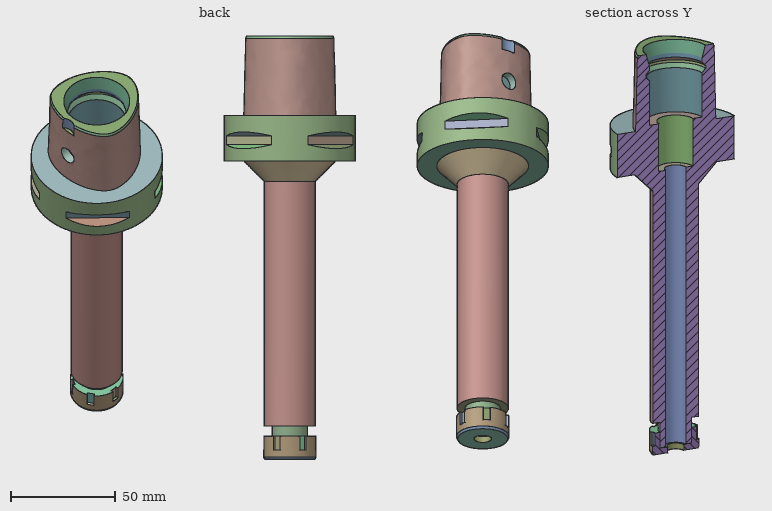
import cadquery as cq
import math


shank_height = 38.0
shank_mean_radius = 22.15
lobe_eccentricity = 1.55
outline_point_count = 36
taper_per_side = 1 / 40
shank_chamfer_height = 1.2
shank_chamfer_width = 0.5

notch_height = 6.5
notch_radius = 5.4
notch_bottom_y = -18.0
blind_hole_diameter = 8.4
blind_hole_z = 15.5
blind_hole_depth = 5.0

mouth_diameter = 31.6
clamp_bore_diameter = 28.0
groove_diameter = 32.0
mouth_cone_depth = 6.4
groove_top_depth = 8.4
groove_bottom_depth = 13.7
clamp_bore_depth = 36.0
middle_bore_diameter = 18.1
middle_bore_depth = 60.0
coolant_bore_diameter = 10.9

flange_diameter = 63.0
flange_height = 22.0
cone_top_diameter = 44.0
stem_diameter = 24.6
stem_end_z = -149.0
neck_diameter = 17.0

gripper_groove_count = 4
gripper_groove_first_angle = 45.0
gripper_groove_z = -12.0
gripper_groove_floor_radius = 27.6
gripper_groove_floor_height = 4.2
gripper_groove_mouth_height = 8.0

nut_bottom_z = -165.0
nut_top_z = -153.8
nut_diameter = 25.2
nut_floor_thickness = 3.0
nut_hole_diameter = 8.4
nut_chamfer_height = 1.2
nut_chamfer_width = 0.6
nut_slot_count = 6
nut_slot_width = 3.4
nut_slot_length = 6.6
nut_slot_depth = 1.3

neck_end_z = nut_bottom_z + nut_floor_thickness


def polygon_section(z, mean_radius):
    """Closed three-lobed outline with one lobe toward +Y."""

    points = []
    for index in range(outline_point_count):
        angle = math.pi + 2 * math.pi * index / outline_point_count
        along_lobe = (
            mean_radius * math.cos(angle)
            + 2 * lobe_eccentricity * math.cos(2 * angle)
            - lobe_eccentricity * math.cos(4 * angle)
        )
        across_lobe = (
            mean_radius * math.sin(angle)
            - 2 * lobe_eccentricity * math.sin(2 * angle)
            - lobe_eccentricity * math.sin(4 * angle)
        )
        points.append((-across_lobe, along_lobe))
    outline = cq.Workplane("XY").workplane(offset=z).spline(points, periodic=True, makeWire=True)
    return outline.val()


def polygon_shank():
    chamfer_z = shank_height - shank_chamfer_height
    chamfer_radius = shank_mean_radius - taper_per_side * chamfer_z
    bottom = polygon_section(0, shank_mean_radius)
    chamfer_start = polygon_section(chamfer_z, chamfer_radius)
    top = polygon_section(shank_height, chamfer_radius - shank_chamfer_width)
    taper = cq.Solid.makeLoft([bottom, chamfer_start], True)
    chamfer = cq.Solid.makeLoft([chamfer_start, top], True)
    return cq.Workplane(taper).union(cq.Workplane(chamfer))


def flange_and_stem():
    cone_height = (cone_top_diameter - stem_diameter) / 2
    outline = [
        (0, 0),
        (flange_diameter / 2, 0),
        (flange_diameter / 2, -flange_height),
        (cone_top_diameter / 2, -flange_height),
        (stem_diameter / 2, -flange_height - cone_height),
        (stem_diameter / 2, stem_end_z),
        (neck_diameter / 2, stem_end_z),
        (neck_diameter / 2, neck_end_z),
        (0, neck_end_z),
    ]
    return cq.Workplane("XZ").polyline(outline).close().revolve(360, (0, 0), (0, 1))


def stepped_bore():
    """Cutter for the conical mouth, segment groove and stepped bore."""
    clamp_radius = clamp_bore_diameter / 2
    groove_radius = groove_diameter / 2
    groove_slope = groove_radius - clamp_radius
    outline = [
        (0, shank_height),
        (mouth_diameter / 2, shank_height),
        (clamp_radius, shank_height - mouth_cone_depth),
        (clamp_radius, shank_height - groove_top_depth),
        (groove_radius, shank_height - groove_top_depth - groove_slope),
        (groove_radius, shank_height - groove_bottom_depth + groove_slope),
        (clamp_radius, shank_height - groove_bottom_depth),
        (clamp_radius, shank_height - clamp_bore_depth),
        (middle_bore_diameter / 2, shank_height - clamp_bore_depth),
        (middle_bore_diameter / 2, shank_height - middle_bore_depth),
        (coolant_bore_diameter / 2, shank_height - middle_bore_depth),
        (coolant_bore_diameter / 2, neck_end_z),
        (0, neck_end_z),
    ]
    return cq.Workplane("XZ").polyline(outline).close().revolve(360, (0, 0), (0, 1))


def key_notch():
    return (
        cq.Workplane("XY")
        .workplane(offset=shank_height - notch_height)
        .center(0, notch_bottom_y - notch_radius)
        .circle(notch_radius)
        .extrude(notch_height)
    )


def blind_hole():
    flat_y = -(shank_mean_radius - lobe_eccentricity)
    return (
        cq.Workplane("XZ", origin=(0, flat_y, blind_hole_z))
        .circle(blind_hole_diameter / 2)
        .extrude(blind_hole_depth, both=True)
    )


def gripper_groove(angle):
    """Straight trapezoidal groove crossing the flange rim, facing the given direction."""
    half_floor = gripper_groove_floor_height / 2
    half_mouth = gripper_groove_mouth_height / 2
    profile = [
        (gripper_groove_floor_radius, gripper_groove_z - half_floor),
        (flange_diameter / 2, gripper_groove_z - half_mouth),
        (flange_diameter / 2, gripper_groove_z + half_mouth),
        (gripper_groove_floor_radius, gripper_groove_z + half_floor),
    ]
    groove = cq.Workplane("XZ").polyline(profile).close().extrude(flange_diameter / 2, both=True)
    return groove.rotate((0, 0, 0), (0, 0, 1), angle)


def make_holder():
    holder = flange_and_stem().union(polygon_shank())
    holder = holder.cut(stepped_bore()).cut(key_notch()).cut(blind_hole())
    for index in range(gripper_groove_count):
        angle = gripper_groove_first_angle + index * 360 / gripper_groove_count
        holder = holder.cut(gripper_groove(angle))
    return holder


def nut_slot(angle):
    """Wrench slot in the nut rim, open at the top of the nut."""
    slot = cq.Workplane("XY").box(
        nut_slot_depth, nut_slot_width, nut_slot_length, centered=(False, True, False)
    )
    slot = slot.translate((nut_diameter / 2 - nut_slot_depth, 0, nut_top_z - nut_slot_length))
    return slot.rotate((0, 0, 0), (0, 0, 1), angle)


def make_nut():
    outer_radius = nut_diameter / 2
    outline = [
        (nut_hole_diameter / 2, nut_bottom_z),
        (outer_radius - nut_chamfer_width, nut_bottom_z),
        (outer_radius, nut_bottom_z + nut_chamfer_height),
        (outer_radius, nut_top_z),
        (neck_diameter / 2, nut_top_z),
        (neck_diameter / 2, neck_end_z),
        (nut_hole_diameter / 2, neck_end_z),
    ]
    nut = cq.Workplane("XZ").polyline(outline).close().revolve(360, (0, 0), (0, 1))
    for index in range(nut_slot_count):
        nut = nut.cut(nut_slot(index * 360 / nut_slot_count))
    return nut


holder = make_holder()
nut = make_nut()
result = cq.Compound.makeCompound([holder.val(), nut.val()])